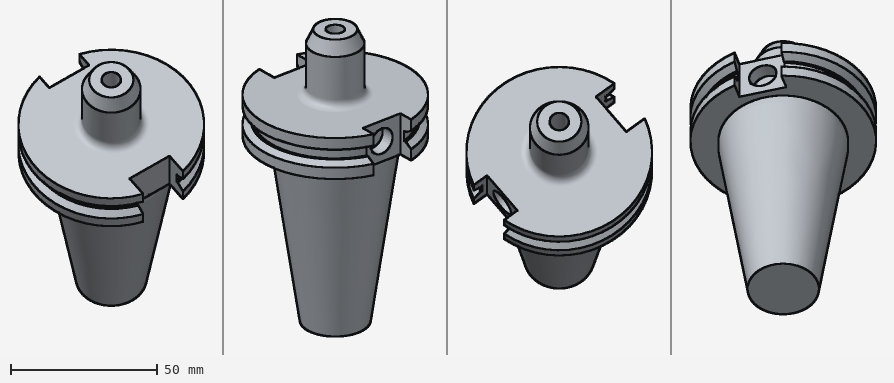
import cadquery as cq

TOTAL_LENGTH = 112.7

ARBOR_LENGTH = 25.2
ARBOR_RADIUS = 10.0
ARBOR_TIP_RADIUS = 7.5
ARBOR_TIP_LENGTH = 5.4
ARBOR_FILLET = 3.0
ARBOR_BORE_DIAMETER = 6.5
ARBOR_BORE_DEPTH = 16.9

FLANGE_RADIUS = 31.8
FLANGE_THICKNESS = 15.9
GROOVE_FLOOR_RADIUS = 28.2
GROOVE_FLOOR_WIDTH = 3.7
GROOVE_LEDGE_WIDTH = 0.8
GROOVE_FLANK_WIDTH = 1.7

SLOT_WIDTH = 16.7
SLOT_FLOOR_MINUS_X = 24.9
SLOT_FLOOR_PLUS_X = 22.7
DIMPLE_DIAMETER = 9.7
DIMPLE_DEPTH = 5.3

TAPER_LARGE_RADIUS = 22.2
TAPER_RATIO = 7 / 24
COLLAR_LENGTH = 3.2

flange_top = TOTAL_LENGTH - ARBOR_LENGTH
flange_bottom = flange_top - FLANGE_THICKNESS
flange_middle = (flange_top + flange_bottom) / 2
taper_top = flange_bottom - COLLAR_LENGTH
arbor_shoulder = TOTAL_LENGTH - ARBOR_TIP_LENGTH

taper_small_radius = TAPER_LARGE_RADIUS - taper_top * TAPER_RATIO / 2


def make_taper():
    """Conical shank and collar."""
    profile = (
        cq.Workplane("XZ")
        .lineTo(taper_small_radius, 0)
        .lineTo(TAPER_LARGE_RADIUS, taper_top)
        .lineTo(TAPER_LARGE_RADIUS, flange_bottom)
        .lineTo(0, flange_bottom)
        .close()
    )
    return profile.revolve(360, (0, 0, 0), (0, 1, 0))


def make_flange():
    """Flange disc with a groove around its middle; flat ledges join the groove floor to its flanks."""
    half_floor = GROOVE_FLOOR_WIDTH / 2
    ledge_radius = GROOVE_FLOOR_RADIUS + GROOVE_LEDGE_WIDTH
    half_mouth = half_floor + GROOVE_FLANK_WIDTH
    profile = (
        cq.Workplane("XZ")
        .moveTo(0, flange_bottom)
        .lineTo(FLANGE_RADIUS, flange_bottom)
        .lineTo(FLANGE_RADIUS, flange_middle - half_mouth)
        .lineTo(ledge_radius, flange_middle - half_floor)
        .lineTo(GROOVE_FLOOR_RADIUS, flange_middle - half_floor)
        .lineTo(GROOVE_FLOOR_RADIUS, flange_middle + half_floor)
        .lineTo(ledge_radius, flange_middle + half_floor)
        .lineTo(FLANGE_RADIUS, flange_middle + half_mouth)
        .lineTo(FLANGE_RADIUS, flange_top)
        .lineTo(0, flange_top)
        .close()
    )
    return profile.revolve(360, (0, 0, 0), (0, 1, 0))


def make_arbor():
    """Cylindrical arbor with a conical tip and a concave fillet where it meets the flange."""
    profile = (
        cq.Workplane("XZ")
        .moveTo(0, flange_top)
        .lineTo(ARBOR_RADIUS + ARBOR_FILLET, flange_top)
        .radiusArc((ARBOR_RADIUS, flange_top + ARBOR_FILLET), ARBOR_FILLET)
        .lineTo(ARBOR_RADIUS, arbor_shoulder)
        .lineTo(ARBOR_TIP_RADIUS, TOTAL_LENGTH)
        .lineTo(0, TOTAL_LENGTH)
        .close()
    )
    return profile.revolve(360, (0, 0, 0), (0, 1, 0))


def make_drive_slot(side, floor_distance):
    """Cutter for one drive slot; side is -1 for -X and +1 for +X."""
    length = FLANGE_RADIUS
    return cq.Workplane("XY").box(length, SLOT_WIDTH, FLANGE_THICKNESS).translate(
        (side * (floor_distance + length / 2), 0, flange_middle)
    )


def make_dimple():
    """Cutter for the round blind hole in the floor of the -X slot."""
    return (
        cq.Workplane("YZ", origin=(-SLOT_FLOOR_MINUS_X, 0, flange_middle))
        .circle(DIMPLE_DIAMETER / 2)
        .extrude(DIMPLE_DEPTH)
    )


def make_arbor_bore():
    """Cutter for the axial blind hole in the arbor tip."""
    return (
        cq.Workplane("XY", origin=(0, 0, TOTAL_LENGTH))
        .circle(ARBOR_BORE_DIAMETER / 2)
        .extrude(-ARBOR_BORE_DEPTH)
    )


result = (
    make_taper()
    .union(make_flange())
    .union(make_arbor())
    .cut(make_drive_slot(-1, SLOT_FLOOR_MINUS_X))
    .cut(make_drive_slot(1, SLOT_FLOOR_PLUS_X))
    .cut(make_dimple())
    .cut(make_arbor_bore())
)